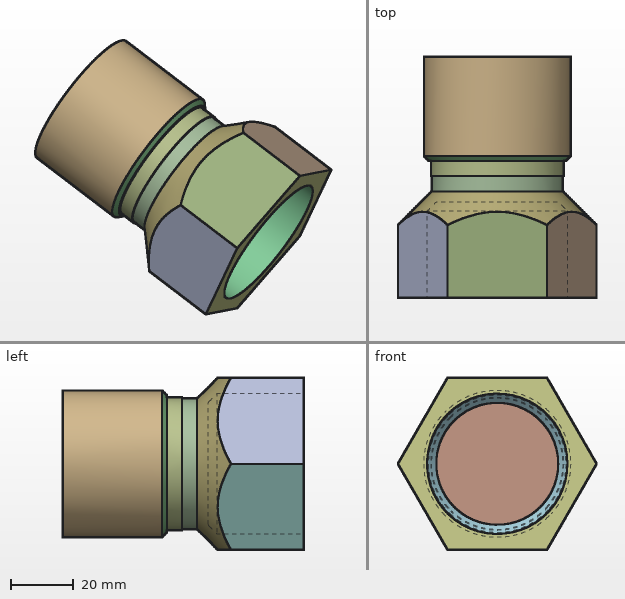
import cadquery as cq

length = 77.0
hex_across_corners = 63.5

hex_corner_end = 23.25
neck_length = 4.85
collar_chamfer = 1.55

front_neck_diameter = 42.0
rear_neck_diameter = 42.5
collar_diameter = 47.0

mouth_diameter = 44.8
floor_diameter = 39.0
bore_depth = 27.7
seat_depth = (mouth_diameter - floor_diameter) / 2

corner_radius = hex_across_corners / 2
front_neck_radius = front_neck_diameter / 2
rear_neck_radius = rear_neck_diameter / 2
collar_radius = collar_diameter / 2
shoulder_end = hex_corner_end + corner_radius - front_neck_radius
neck_step = shoulder_end + neck_length
neck_end = neck_step + neck_length


def revolve_about_y(profile):
    """Turn a closed (radius, Y) outline around the Y axis."""
    return cq.Workplane("XY").polyline(profile).close().revolve(360, (0, 0, 0), (0, 1, 0))


def turned_body():
    return revolve_about_y([
        (0, 0),
        (corner_radius, 0),
        (corner_radius, hex_corner_end),
        (front_neck_radius, shoulder_end),
        (front_neck_radius, neck_step),
        (rear_neck_radius, neck_step),
        (rear_neck_radius, neck_end),
        (collar_radius - collar_chamfer, neck_end),
        (collar_radius, neck_end + collar_chamfer),
        (collar_radius, length),
        (0, length),
    ])


def hexagonal_bar():
    return cq.Workplane("XZ").polygon(6, hex_across_corners).extrude(-length)


def socket():
    socket_depth = bore_depth + seat_depth
    return revolve_about_y([
        (0, 0),
        (mouth_diameter / 2, 0),
        (mouth_diameter / 2, bore_depth),
        (floor_diameter / 2, socket_depth),
        (0, socket_depth),
    ])


result = turned_body().intersect(hexagonal_bar()).cut(socket())